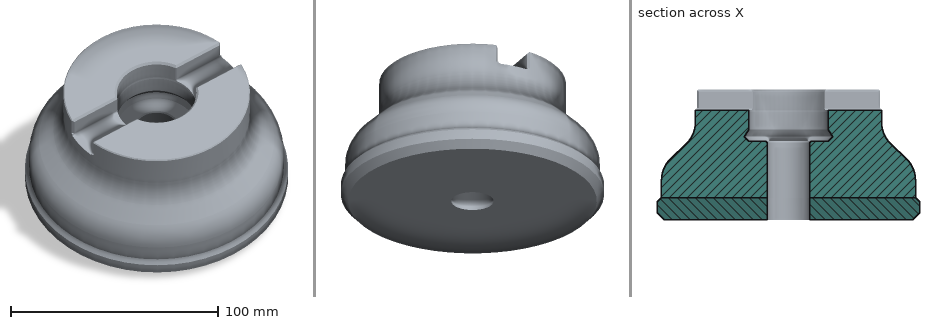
import cadquery as cq
import math

total_height = 63.0
base_height = 10.8
skirt_top = 19.0
neck_bottom = 47.4

base_radius = 63.5
skirt_radius = 122.9 / 2
neck_radius = 90.0 / 2
shoulder_radius = 14.9
base_bottom_radius = 59.9
base_chamfer_height = 3.7
neck_chamfer = 0.5

slot_width = 16.0
slot_depth = 9.9
slot_floor_fillet = 0.9
slot_edge_chamfer = 1.0
slot_bore_chamfer = 0.5

upper_bore_radius = 38.3 / 2
lower_bore_radius = 38.1 / 2
bore_mouth_chamfer = 1.0
bore_step_height = 1.0
groove_top_depth = 19.3
groove_bottom_depth = 24.9
groove_reach = 2.2
through_hole_radius = 20.5 / 2
through_hole_chamfer = 0.6


def hub_blank():
    """Revolved hub: two cylinders joined by a convex arc, a straight flank and a concave arc."""
    convex_center_r = skirt_radius - shoulder_radius
    concave_center_r = neck_radius + shoulder_radius
    run = concave_center_r - convex_center_r
    rise = neck_bottom - skirt_top
    flank_angle = math.asin(2 * shoulder_radius / math.hypot(run, rise)) - math.atan2(run, rise)

    def convex_point(angle):
        return (convex_center_r + shoulder_radius * math.cos(angle),
                skirt_top + shoulder_radius * math.sin(angle))

    def concave_point(angle):
        return (concave_center_r - shoulder_radius * math.cos(angle),
                neck_bottom - shoulder_radius * math.sin(angle))

    return (
        cq.Workplane("XZ")
        .moveTo(0, base_height)
        .lineTo(skirt_radius, base_height)
        .lineTo(skirt_radius, skirt_top)
        .threePointArc(convex_point(flank_angle / 2), convex_point(flank_angle))
        .lineTo(*concave_point(flank_angle))
        .threePointArc(concave_point(flank_angle / 2), (neck_radius, neck_bottom))
        .lineTo(neck_radius, total_height - neck_chamfer)
        .lineTo(neck_radius - neck_chamfer, total_height)
        .lineTo(0, total_height)
        .close()
        .revolve(360, (0, 0, 0), (0, 1, 0))
    )


def bore_cutter():
    """Revolved bore: chamfered mouth, small step, undercut groove, flat floor and through hole."""
    step_top = total_height - slot_depth
    groove_top = total_height - groove_top_depth
    floor_height = total_height - groove_bottom_depth
    points = [
        (0, base_height),
        (through_hole_radius, base_height),
        (through_hole_radius, floor_height - through_hole_chamfer),
        (through_hole_radius + through_hole_chamfer, floor_height),
        (lower_bore_radius, floor_height),
        (lower_bore_radius + groove_reach, floor_height + groove_reach),
        (lower_bore_radius, groove_top),
        (lower_bore_radius, step_top - bore_step_height),
        (upper_bore_radius, step_top),
        (upper_bore_radius, total_height - bore_mouth_chamfer),
        (upper_bore_radius + bore_mouth_chamfer, total_height),
        (0, total_height),
    ]
    return cq.Workplane("XZ").polyline(points).close().revolve(360, (0, 0, 0), (0, 1, 0))


def slot_cutter():
    """Keyway along Y with rounded floor corners and chamfered top edges."""
    half_width = slot_width / 2
    floor_height = total_height - slot_depth
    mouth_half_width = half_width + slot_edge_chamfer
    body = (
        cq.Workplane("XY", origin=(0, 0, floor_height))
        .rect(slot_width, 2 * base_radius)
        .extrude(slot_depth)
        .edges("|Y and <Z")
        .fillet(slot_floor_fillet)
    )
    mouth = (
        cq.Workplane("XZ", origin=(0, base_radius, 0))
        .moveTo(-mouth_half_width, total_height)
        .lineTo(mouth_half_width, total_height)
        .lineTo(half_width, total_height - slot_edge_chamfer)
        .lineTo(-half_width, total_height - slot_edge_chamfer)
        .close()
        .extrude(2 * base_radius)
    )
    return body.union(mouth)


def slot_end_cutter(side, corner_radius, chamfer, end_y):
    """Flare that chamfers the upright corners where the keyway meets a cylinder of corner_radius.

    side is +1 or -1 in Y; the flare widens the keyway from the corner out to end_y.
    """
    half_width = slot_width / 2
    flare_half_width = half_width + chamfer
    corner_y = math.sqrt(corner_radius**2 - flare_half_width**2)
    flare_start = corner_y - math.copysign(chamfer, end_y - corner_y)
    return (
        cq.Workplane("XY", origin=(0, 0, total_height - slot_depth + slot_floor_fillet))
        .moveTo(-half_width, side * flare_start)
        .lineTo(half_width, side * flare_start)
        .lineTo(flare_half_width, side * corner_y)
        .lineTo(flare_half_width, side * end_y)
        .lineTo(-flare_half_width, side * end_y)
        .lineTo(-flare_half_width, side * corner_y)
        .close()
        .extrude(slot_depth)
    )


def make_hub():
    """Hub with its bore and keyway."""
    hub = hub_blank().cut(bore_cutter()).cut(slot_cutter())
    for side in (-1, 1):
        hub = hub.cut(slot_end_cutter(side, neck_radius, slot_edge_chamfer, neck_radius))
        hub = hub.cut(slot_end_cutter(side, upper_bore_radius, slot_bore_chamfer, 0))
    return hub


def make_base():
    """Base ring under the hub, chamfered at the bottom and sloped in to the hub at the top."""
    upper_edge_height = base_height - (base_radius - skirt_radius)
    points = [
        (through_hole_radius, 0),
        (base_bottom_radius, 0),
        (base_radius, base_chamfer_height),
        (base_radius, upper_edge_height),
        (skirt_radius, base_height),
        (through_hole_radius, base_height),
    ]
    return cq.Workplane("XZ").polyline(points).close().revolve(360, (0, 0, 0), (0, 1, 0))


hub = make_hub()
base = make_base()
result = cq.Compound.makeCompound([hub.val(), base.val()])